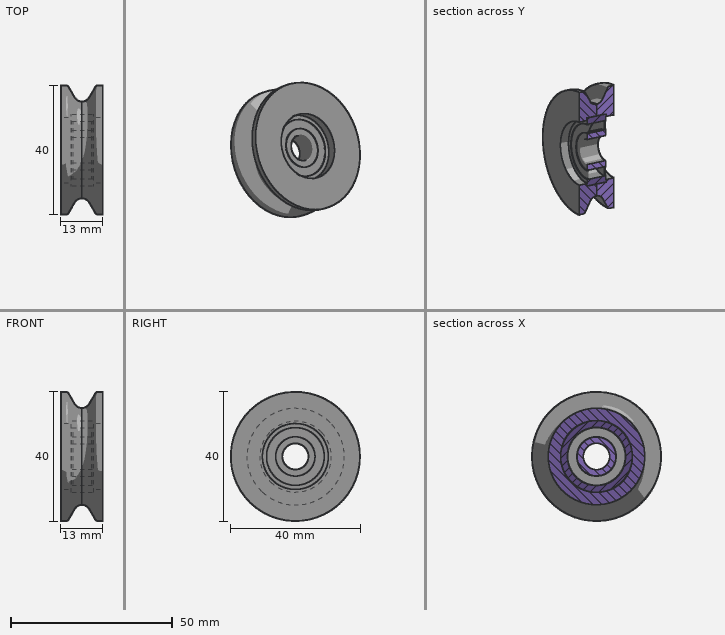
import cadquery as cq
import math


wheel_radius = 20.0
wheel_width = 13.0
groove_depth = 5.0
groove_root_radius = 2.6
groove_wall_angle = math.radians(60)
rim_fillet_radius = 1.0
lip_radius = 10.2

bearing_radius = 11.0
bearing_width = 7.0
bore_radius = 4.0
bore_fillet = 0.3
inner_ring_radius = 6.1
outer_ring_inner_radius = 8.9
shield_recess = 0.2
shield_thickness = 0.4

half_wheel = wheel_width / 2
half_bearing = bearing_width / 2


def revolve_about_x(profile):
    """Turn a closed profile, with radius along Y, fully around the X axis."""
    return profile.close().revolve(360, (0, 0, 0), (1, 0, 0))


def ring(inner_radius, outer_radius, x_start, width):
    """Plain ring around the X axis."""
    return (
        cq.Workplane("YZ", origin=(x_start, 0, 0))
        .circle(outer_radius)
        .circle(inner_radius)
        .extrude(width)
    )


def arc_point(center_x, center_r, radius, angle):
    """Point on an arc, with the angle measured from the outward radial direction."""
    return (center_x + radius * math.sin(angle), center_r + radius * math.cos(angle))


def make_wheel_half(side):
    """Half wheel on the +X (side = 1) or -X (side = -1) side of the parting plane."""
    root_bottom = wheel_radius - groove_depth
    root_center = root_bottom + groove_root_radius
    root_mid = arc_point(0, root_center, -groove_root_radius, -groove_wall_angle / 2)
    root_end = arc_point(0, root_center, -groove_root_radius, -groove_wall_angle)

    fillet_center_r = wheel_radius - rim_fillet_radius
    wall_top_r = fillet_center_r + rim_fillet_radius * math.cos(groove_wall_angle)
    wall_top_x = root_end[0] + (wall_top_r - root_end[1]) / math.tan(groove_wall_angle)
    fillet_center_x = wall_top_x + rim_fillet_radius * math.sin(groove_wall_angle)
    fillet_mid = arc_point(fillet_center_x, fillet_center_r, rim_fillet_radius, -groove_wall_angle / 2)

    half = revolve_about_x(
        cq.Workplane("XY")
        .moveTo(0, bearing_radius)
        .lineTo(0, root_bottom)
        .threePointArc(root_mid, root_end)
        .lineTo(wall_top_x, wall_top_r)
        .threePointArc(fillet_mid, (fillet_center_x, wheel_radius))
        .lineTo(half_wheel, wheel_radius)
        .lineTo(half_wheel, lip_radius)
        .lineTo(half_bearing, lip_radius)
        .lineTo(half_bearing, bearing_radius)
    )
    return half if side > 0 else half.mirror("YZ")


def make_outer_ring():
    return ring(outer_ring_inner_radius, bearing_radius, -half_bearing, bearing_width)


def make_inner_ring():
    """Inner bearing ring with both bore edges rounded."""
    blank = ring(bore_radius, inner_ring_radius, -half_bearing, bearing_width)
    bore_edges = cq.selectors.RadiusNthSelector(0)
    return blank.edges("%CIRCLE").edges(bore_edges).fillet(bore_fillet)


def make_shield(side):
    """Thin shield between the rings, set slightly below the bearing face."""
    outer_face = side * (half_bearing - shield_recess)
    return ring(inner_ring_radius, outer_ring_inner_radius, outer_face, -side * shield_thickness)


sides = (-1, 1)
wheel_halves = [make_wheel_half(side).val() for side in sides]
shields = [make_shield(side).val() for side in sides]
outer_ring = make_outer_ring()
inner_ring = make_inner_ring()

result = cq.Compound.makeCompound([*wheel_halves, outer_ring.val(), inner_ring.val(), *shields])